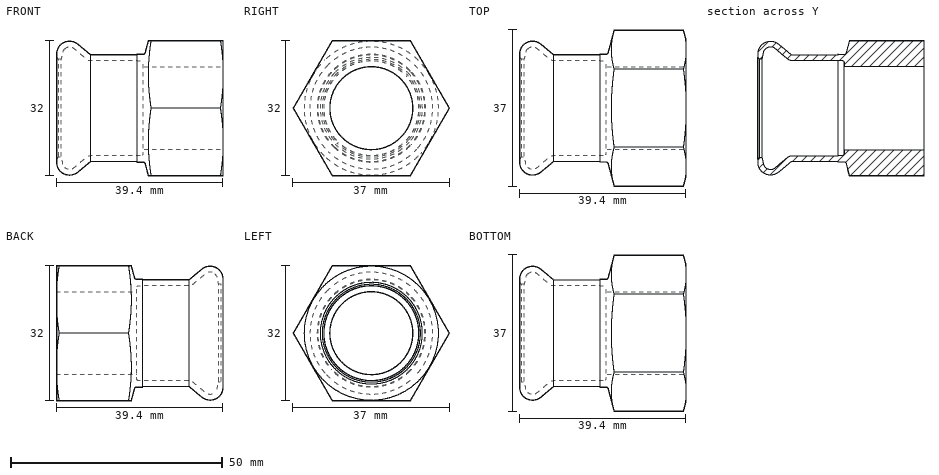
import cadquery as cq
import math


total_length = 39.4
across_flats = 32.0
corner_radius = across_flats / math.sqrt(3)
bore_radius = 19.6 / 2

tube_outer_radius = 25.3 / 2
tube_inner_radius = 22.5 / 2
wall = tube_outer_radius - tube_inner_radius
bead_outer_radius = 31.75 / 2
bead_round = 3.07
bead_slope = math.radians(40)
shoulder_round = 1.55

mouth_radius = 24.1 / 2
lip_radius = 23.2 / 2
lip_end = 1.1

collar_start = 19.05
collar_end = 20.6
collar_radius = 25.6 / 2
socket_radius = 22.4 / 2
socket_end = 20.5
socket_round = 0.5
collar_round = 0.3

hex_slope = math.radians(15)
end_face_radius = 16.15
corner_clearance = 0.4


def polar(center, radius, angle):
    """Point on a circle; the angle is measured from the outward radius towards +X."""
    return (center[0] + radius * math.sin(angle), center[1] + radius * math.cos(angle))


def arc_to(sketch, center, radius, start, end):
    """Add an arc between two angles; the sketch is already at its start."""
    middle = polar(center, radius, (start + end) / 2)
    return sketch.threePointArc(middle, polar(center, radius, end))


def revolve(profile):
    """Close a profile and turn it around the X axis."""
    return profile.close().revolve(360, (0, 0, 0), (1, 0, 0))


def slope_reach(from_radius, to_radius):
    """Axial length of the bead's cone between two radii."""
    return (from_radius - to_radius) / math.tan(bead_slope)


bead_center = (bead_round, bead_outer_radius - bead_round)
groove_round = bead_round - wall

collar_fillet_center = (collar_end, collar_radius + collar_round)
collar_fillet_end = polar(collar_fillet_center, collar_round, math.pi / 2 + hex_slope)
rim_radius = corner_radius + corner_clearance
rim_start = collar_fillet_end[0] + (rim_radius - collar_fillet_end[1]) * math.tan(hex_slope)
rim_end = total_length - (rim_radius - end_face_radius) * math.tan(hex_slope)


def outer_turning():
    """Bead, tube, collar and the two cones that trim the hexagon's corners."""
    cone_start = polar(bead_center, bead_round, bead_slope)
    tube_start = cone_start[0] + slope_reach(cone_start[1], tube_outer_radius)
    profile = cq.Workplane("XY").moveTo(0, 0).lineTo(0, bead_center[1])
    profile = arc_to(profile, bead_center, bead_round, -math.pi / 2, bead_slope)
    profile = (
        profile.lineTo(tube_start, tube_outer_radius)
        .lineTo(collar_start, tube_outer_radius)
        .lineTo(collar_start, collar_radius)
        .lineTo(collar_end, collar_radius)
    )
    profile = arc_to(profile, collar_fillet_center, collar_round, math.pi, math.pi / 2 + hex_slope)
    profile = (
        profile.lineTo(rim_start, rim_radius)
        .lineTo(rim_end, rim_radius)
        .lineTo(total_length, end_face_radius)
        .lineTo(total_length, 0)
    )
    return revolve(profile)


def hex_envelope():
    """Hexagon with flats facing +Z and -Z, and a round bar for everything ahead of it."""
    hexagon = cq.Workplane("YZ").polygon(6, 2 * corner_radius).extrude(total_length)
    front_bar = cq.Workplane("YZ").circle(bead_outer_radius).extrude(collar_start)
    return hexagon.union(front_bar)


def socket():
    """Mouth, lip, groove inside the bead, and the tube's inside down to its stop."""
    groove_cone_start = polar(bead_center, groove_round, bead_slope)
    shoulder_radius = tube_inner_radius + shoulder_round * (1 - math.cos(bead_slope))
    shoulder_start = groove_cone_start[0] + slope_reach(groove_cone_start[1], shoulder_radius)
    shoulder_end = shoulder_start + shoulder_round * math.sin(bead_slope)
    shoulder_center = (shoulder_end, tube_inner_radius + shoulder_round)
    profile = (
        cq.Workplane("XY")
        .moveTo(0, 0)
        .lineTo(0, mouth_radius)
        .lineTo(mouth_radius - lip_radius, lip_radius)
        .lineTo(lip_end, lip_radius)
        .lineTo(bead_center[0] - groove_round, bead_center[1])
    )
    profile = arc_to(profile, bead_center, groove_round, -math.pi / 2, bead_slope)
    profile = profile.lineTo(shoulder_start, shoulder_radius)
    profile = arc_to(profile, shoulder_center, shoulder_round, math.pi + bead_slope, math.pi)
    profile = (
        profile.lineTo(collar_start, tube_inner_radius)
        .lineTo(collar_start, socket_radius)
        .lineTo(socket_end - socket_round, socket_radius)
    )
    round_center = (socket_end - socket_round, socket_radius - socket_round)
    profile = arc_to(profile, round_center, socket_round, 0, math.pi / 2)
    return revolve(profile.lineTo(socket_end, 0))


bore = cq.Workplane("YZ").circle(bore_radius).extrude(total_length)

result = outer_turning().intersect(hex_envelope()).cut(socket()).cut(bore)